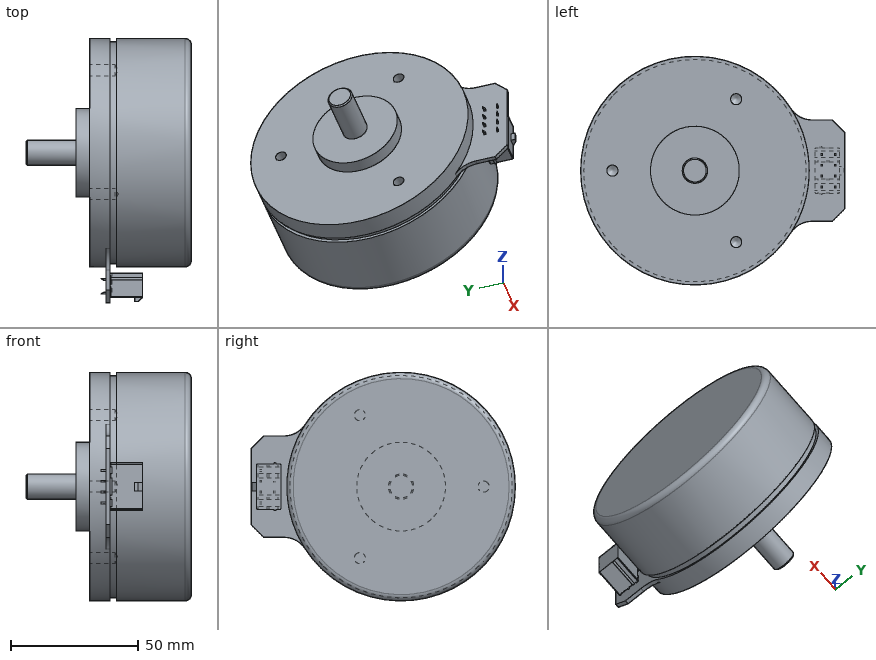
import cadquery as cq
import math

total_length = 65.0
total_width = 104.0
body_diameter = 90.0
body_radius = body_diameter / 2

shaft_diameter = 10.0
shaft_chamfer = 0.5
boss_diameter = 34.9
boss_face_x = 19.5

plate_face_x = 25.0
board_thickness = 1.7
board_face_x = 31.4
board_back_x = board_face_x + board_thickness
groove_diameter = 87.5
cover_face_x = 35.5
cover_fillet = 2.5

hole_count = 3
hole_diameter = 4.4
hole_circle_radius = 32.5
hole_depth = 10.0
drill_point_angle = 118.0

tab_half_width = 20.0
tab_end_y = body_radius - total_width
tab_corner = 5.0
tab_root_radius = 10.0

housing_inner_y = -47.2
housing_outer_y = -56.9
housing_half_height = 8.9
housing_chamfer = 0.3
housing_depth = 12.8
housing_back_x = board_back_x + housing_depth
rib_center_y = -49.6
rib_radius = 0.47

gap_depth = 0.6
gap_half_height = 7.8
foot_width = 1.8
foot_center_z = 4.3
cross_gap_depth = 0.3
cross_gap_inner_y = -48.4
cross_gap_outer_y = -56.3
cross_foot_inner_y = -51.9
cross_foot_outer_y = -52.7

latch_length = 3.2
latch_flat = 1.4
latch_height = 1.7
latch_width = 3.4

pins_per_row = 4
pin_pitch = 4.3
pin_row_center_y = -52.5
pin_row_half_span = 3.0
pin_thickness = 0.7
pin_width = 0.7
pin_length = 2.0
pin_taper = 1.1


def cylinder(diameter, start_x, end_x):
    """Cylinder on the motor axis between two X positions."""
    return cq.Workplane("YZ").workplane(offset=start_x).circle(diameter / 2).extrude(end_x - start_x)


def box_between(x_range, y_range, z_range):
    """Axis-aligned box given by its limits."""
    lows, highs = zip(x_range, y_range, z_range)
    size = [high - low for low, high in zip(lows, highs)]
    return cq.Workplane("XY").box(*size, centered=False).translate(lows)


def motor_body():
    """Shaft, boss, plate, groove and rounded rear cover."""
    shaft = cylinder(shaft_diameter, 0, boss_face_x).faces("<X").chamfer(shaft_chamfer)
    boss = cylinder(boss_diameter, boss_face_x, plate_face_x)
    plate = cylinder(body_diameter, plate_face_x, board_back_x)
    neck = cylinder(groove_diameter, board_back_x, cover_face_x)
    cover = cylinder(body_diameter, cover_face_x, total_length).faces(">X").edges().fillet(cover_fillet)
    return shaft.union(boss).union(plate).union(neck).union(cover)


def mounting_hole(angle):
    """Blind hole with a conical bottom, cut from the plate face."""
    radius = hole_diameter / 2
    point_depth = radius / math.tan(math.radians(drill_point_angle / 2))
    return (
        cq.Workplane("XY")
        .moveTo(plate_face_x, 0)
        .lineTo(plate_face_x, radius)
        .lineTo(plate_face_x + hole_depth, radius)
        .lineTo(plate_face_x + hole_depth + point_depth, 0)
        .close()
        .revolve(360, (0, 0, 0), (1, 0, 0))
        .translate((0, hole_circle_radius, 0))
        .rotate((0, 0, 0), (1, 0, 0), angle)
    )


def board_tab():
    """Board tab with clipped corners, blended into the round body by tangent arcs."""
    arc_center_z = tab_half_width + tab_root_radius
    center_distance = body_radius + tab_root_radius
    arc_center_y = -math.sqrt(center_distance**2 - arc_center_z**2)
    root_scale = body_radius / center_distance
    root_y = arc_center_y * root_scale
    root_z = arc_center_z * root_scale

    to_root_angle = math.atan2(root_z - arc_center_z, root_y - arc_center_y)
    middle_angle = (to_root_angle - math.pi / 2) / 2
    middle_y = arc_center_y + tab_root_radius * math.cos(middle_angle)
    middle_z = arc_center_z + tab_root_radius * math.sin(middle_angle)

    return (
        cq.Workplane("YZ")
        .workplane(offset=board_face_x)
        .moveTo(root_y, root_z)
        .threePointArc((middle_y, middle_z), (arc_center_y, tab_half_width))
        .lineTo(tab_end_y + tab_corner, tab_half_width)
        .lineTo(tab_end_y, tab_half_width - tab_corner)
        .lineTo(tab_end_y, -tab_half_width + tab_corner)
        .lineTo(tab_end_y + tab_corner, -tab_half_width)
        .lineTo(arc_center_y, -tab_half_width)
        .threePointArc((middle_y, -middle_z), (root_y, -root_z))
        .close()
        .extrude(board_thickness)
    )


def housing():
    """Connector housing with chamfered long edges and a half-round rib on its top and bottom."""
    block = box_between(
        (board_back_x, housing_back_x),
        (housing_outer_y, housing_inner_y),
        (-housing_half_height, housing_half_height),
    )
    shell = block.edges("|X").chamfer(housing_chamfer)
    ribs = (
        cq.Workplane("YZ")
        .workplane(offset=board_back_x)
        .pushPoints([(rib_center_y, housing_half_height), (rib_center_y, -housing_half_height)])
        .circle(rib_radius)
        .extrude(housing_depth)
    )
    return shell.union(ribs)


def standoff_gaps():
    """Shallow channels in both directions under the housing, leaving small feet."""
    foot_inner_z = foot_center_z - foot_width / 2
    foot_outer_z = foot_center_z + foot_width / 2
    x_range = (board_back_x, board_back_x + gap_depth)
    y_range = (housing_outer_y, housing_inner_y)
    middle = box_between(x_range, y_range, (-foot_inner_z, foot_inner_z))
    upper = box_between(x_range, y_range, (foot_outer_z, gap_half_height))
    lower = upper.mirror("XY")

    cross_x_range = (board_back_x, board_back_x + cross_gap_depth)
    rib_top_z = housing_half_height + rib_radius
    cross_z_range = (-rib_top_z, rib_top_z)
    inner_cross = box_between(cross_x_range, (cross_foot_inner_y, cross_gap_inner_y), cross_z_range)
    outer_cross = box_between(cross_x_range, (cross_gap_outer_y, cross_foot_outer_y), cross_z_range)
    return middle.union(upper).union(lower).union(inner_cross).union(outer_cross)


def latch():
    """Ramped latch nose at the open end of the housing."""
    front_x = housing_back_x - latch_length
    return (
        cq.Workplane("XY")
        .workplane(offset=-latch_width / 2)
        .moveTo(front_x, housing_outer_y)
        .lineTo(front_x, housing_outer_y - latch_height)
        .lineTo(front_x + latch_flat, housing_outer_y - latch_height)
        .lineTo(housing_back_x, housing_outer_y)
        .close()
        .extrude(latch_width)
    )


def solder_pin(side, z):
    """Pin bevelled to a point on the side facing the other row; side is +1 or -1 along Y."""
    outer_y = pin_row_center_y + side * pin_row_half_span
    inner_y = outer_y - side * pin_thickness
    tip_x = board_face_x - pin_length
    return (
        cq.Workplane("XY")
        .workplane(offset=z - pin_width / 2)
        .moveTo(board_face_x, outer_y)
        .lineTo(tip_x, outer_y)
        .lineTo(tip_x + pin_taper, inner_y)
        .lineTo(board_face_x, inner_y)
        .close()
        .extrude(pin_width)
    )


motor = motor_body()
for index in range(hole_count):
    motor = motor.cut(mounting_hole(index * 360 / hole_count))

connector = housing().cut(standoff_gaps()).union(latch())
result = motor.union(board_tab()).union(connector)
for index in range(pins_per_row):
    pin_z = (index - (pins_per_row - 1) / 2) * pin_pitch
    for row_side in (1, -1):
        result = result.union(solder_pin(row_side, pin_z))